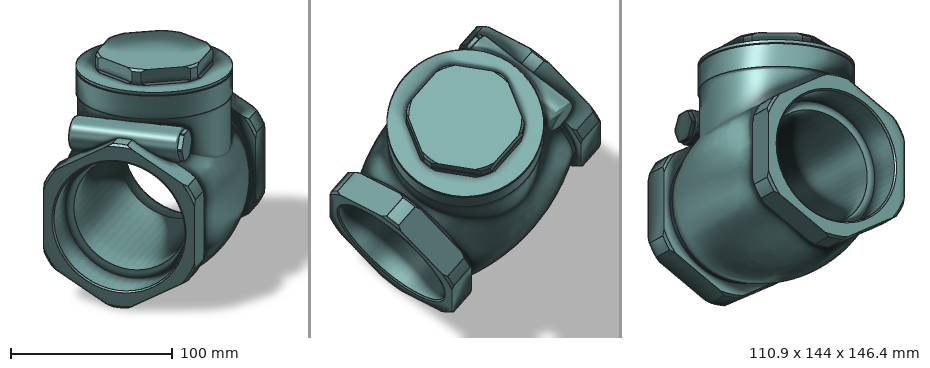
import cadquery as cq
import math

body_length = 144.0
neck_diameter = 90.0
barrel_length = 100.0
barrel_arc_radius = 125.0

end_length = 19.0
end_across_flats = 98.0
end_corner_diameter = 108.0
end_corner_chamfer = 1.5

bore_diameter = 74.0
thread_diameter = 84.93
thread_depth = 24.5
thread_chamfer = 1.0

column_diameter = 95.0
cover_diameter = 97.0
cover_top = 81.0
cover_fillet_bottom = 62.0
cover_fillet_radius = 1.5
groove_depth = 0.5
groove_bottom = 78.5
groove_top = 79.0
column_root_fillet = 1.0

cap_height = 10.0
cap_across_flats = 66.0
cap_corner_diameter = 73.0
cap_corner_chamfer = 1.5
cap_flare = 1.25

pin_diameter = 22.0
pin_left = -37.0
pin_right = 34.0
pin_y = -50.0
pin_z = 50.0
pin_left_fillet = 3.0
pin_right_fillet = 1.0
plug_across_flats = 18.0
plug_corner_diameter = 20.2
plug_length = 3.0

chamfer_angle = 45.0


def hex_prism(plane, across_flats, height, taper=0):
    """Hexagonal prism with two of its corners on the local Y axis."""
    across_corners = across_flats / math.cos(math.pi / 6)
    sketch = cq.Workplane(plane).transformed(rotate=(0, 0, 90))
    return sketch.polygon(6, across_corners).extrude(height, taper=taper)


def disc(plane, diameter, height):
    return cq.Workplane(plane).circle(diameter / 2).extrude(height)


def make_barrel():
    """Straight necks joined by a bulging arc, revolved about Y."""
    neck_radius = neck_diameter / 2
    half_barrel = barrel_length / 2
    half_body = body_length / 2
    bulge = barrel_arc_radius - math.sqrt(barrel_arc_radius**2 - half_barrel**2)
    return (
        cq.Workplane("XY")
        .moveTo(0, -half_body)
        .lineTo(neck_radius, -half_body)
        .lineTo(neck_radius, -half_barrel)
        .threePointArc((neck_radius + bulge, 0), (neck_radius, half_barrel))
        .lineTo(neck_radius, half_body)
        .lineTo(0, half_body)
        .close()
        .revolve(360, (0, 0, 0), (0, 1, 0))
    )


def make_bonnet():
    """Column and cover, revolved about Z, with a fillet below the cover and a groove around it."""
    column_radius = column_diameter / 2
    cover_radius = cover_diameter / 2
    groove_radius = cover_radius - groove_depth
    run_out = cover_radius - column_radius - cover_fillet_radius
    cover_bottom = cover_fillet_bottom + math.sqrt(cover_fillet_radius**2 - run_out**2)
    return (
        cq.Workplane("XZ")
        .lineTo(column_radius, 0)
        .lineTo(column_radius, cover_fillet_bottom)
        .tangentArcPoint((cover_radius, cover_bottom), relative=False)
        .lineTo(cover_radius, groove_bottom)
        .lineTo(groove_radius, groove_bottom)
        .lineTo(groove_radius, groove_top)
        .lineTo(cover_radius, groove_top)
        .lineTo(cover_radius, cover_top)
        .lineTo(0, cover_top)
        .close()
        .revolve(360, (0, 0, 0), (0, 1, 0))
    )


def make_body():
    """Barrel and bonnet, with a fillet where the column meets the barrel."""
    body = make_barrel().union(make_bonnet())
    joint_zone_top = cover_fillet_bottom - cover_fillet_radius
    side = cover_diameter / 2
    joint_zone = cq.selectors.BoxSelector(
        (-side, -side, 0),
        (side, side, joint_zone_top),
        boundingbox=True,
    )
    return body.edges(joint_zone).fillet(column_root_fillet)


def make_hex_end():
    """Hexagonal end at -Y, its corners turned round and chamfered."""
    plane = cq.Plane((0, -body_length / 2, 0), xDir=(1, 0, 0), normal=(0, 1, 0))
    turned = disc(plane, end_corner_diameter, end_length).edges().chamfer(end_corner_chamfer)
    return hex_prism(plane, end_across_flats, end_length).intersect(turned)


def make_cap():
    """Hexagonal cap with turned corners, a chamfered top and a flare at the foot of its flats."""
    plane = cq.Plane((0, 0, cover_top))
    turned = disc(plane, cap_corner_diameter, cap_height)
    turned = turned.faces(">Z").edges().chamfer(cap_corner_chamfer)
    prism = hex_prism(plane, cap_across_flats, cap_height)
    flare = hex_prism(plane, cap_across_flats + 2 * cap_flare, cap_flare, taper=chamfer_angle)
    return prism.union(flare).intersect(turned)


def make_pin_housing():
    """Round-ended cylinder along X with the plug on its +X end."""
    pin_plane = cq.Plane((pin_left, pin_y, pin_z), xDir=(0, 0, 1), normal=(1, 0, 0))
    pin = disc(pin_plane, pin_diameter, pin_right - pin_left)
    pin = pin.faces("<X").edges().fillet(pin_left_fillet)
    pin = pin.faces(">X").edges().fillet(pin_right_fillet)
    plug_plane = cq.Plane((pin_right, pin_y, pin_z), xDir=(0, 0, 1), normal=(1, 0, 0))
    turned = disc(plug_plane, plug_corner_diameter, plug_length)
    plug = hex_prism(plug_plane, plug_across_flats, plug_length).intersect(turned)
    return pin.union(plug)


def make_thread_bore():
    """Thread bore at the -Y end, chamfered at its mouth."""
    plane = cq.Plane((0, -body_length / 2, 0), xDir=(1, 0, 0), normal=(0, 1, 0))
    mouth_circle = cq.Workplane(plane).circle(thread_diameter / 2 + thread_chamfer)
    mouth = mouth_circle.extrude(thread_chamfer, taper=chamfer_angle)
    return disc(plane, thread_diameter, thread_depth).union(mouth)


hex_end = make_hex_end()
thread_bore = make_thread_bore()
bore = cq.Workplane("XZ").circle(bore_diameter / 2).extrude(body_length / 2, both=True)

result = make_body().union(hex_end).union(hex_end.mirror("XZ")).union(make_cap())
result = result.cut(bore).cut(thread_bore).cut(thread_bore.mirror("XZ"))
result = result.union(make_pin_housing())